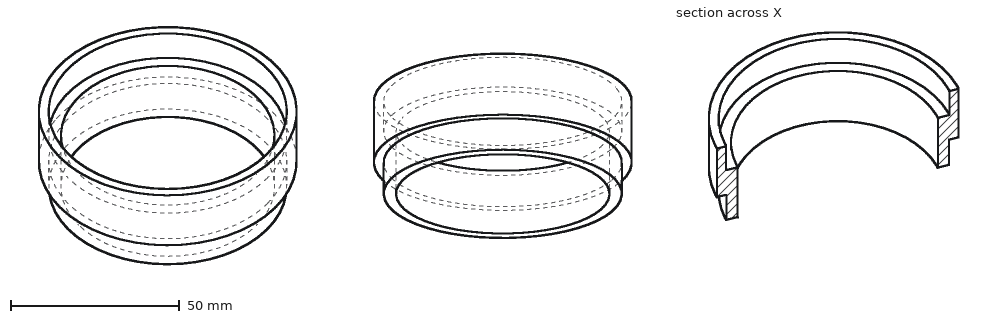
import cadquery as cq

body_diameter = 76.4
joint_diameter = 70.5
bore_diameter = 63.2

total_height = 29.5
spigot_height = 10.0
socket_depth = 9.5

body_height = total_height - spigot_height
socket_floor_z = total_height - socket_depth


def cylinder(diameter, height, base_z):
    """Upright cylinder on the Z axis, standing on base_z."""
    return cq.Workplane("XY").workplane(offset=base_z).circle(diameter / 2).extrude(height)


spigot = cylinder(joint_diameter, spigot_height, 0)
body = cylinder(body_diameter, body_height, spigot_height)
socket = cylinder(joint_diameter, socket_depth, socket_floor_z)
bore = cylinder(bore_diameter, total_height, 0)

result = spigot.union(body).cut(socket).cut(bore)